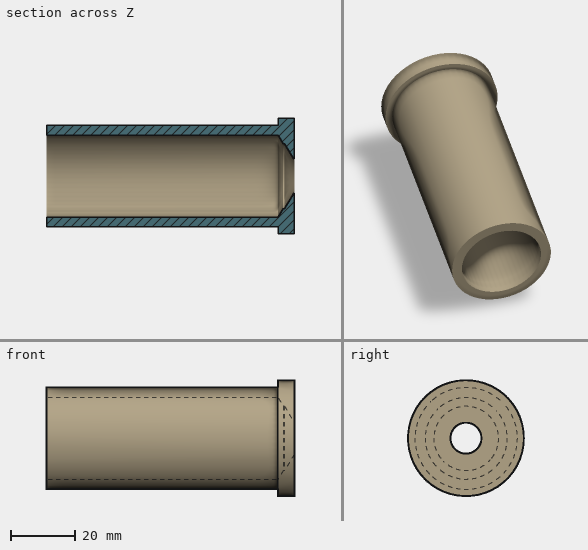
import cadquery as cq
import math

total_length = 77.0
tube_diameter = 31.7
flange_diameter = 36.0
flange_thickness = 5.15
bore_diameter = 25.4
step_diameter = 20.0
outlet_diameter = 9.55
cone_angle = 118.0


def cone_depth(wide_diameter, narrow_diameter):
    """Axial length over which a conical bore end narrows between two diameters."""
    return (wide_diameter - narrow_diameter) / 2 / math.tan(math.radians(cone_angle / 2))


flange_start = total_length - flange_thickness
bore_end = flange_start
step_start = bore_end + cone_depth(bore_diameter, step_diameter)
step_end = total_length - cone_depth(step_diameter, outlet_diameter)

profile = [
    (0, bore_diameter / 2),
    (0, tube_diameter / 2),
    (flange_start, tube_diameter / 2),
    (flange_start, flange_diameter / 2),
    (total_length, flange_diameter / 2),
    (total_length, outlet_diameter / 2),
    (step_end, step_diameter / 2),
    (step_start, step_diameter / 2),
    (bore_end, bore_diameter / 2),
]

result = cq.Workplane("XY").polyline(profile).close().revolve(360, (0, 0, 0), (1, 0, 0))